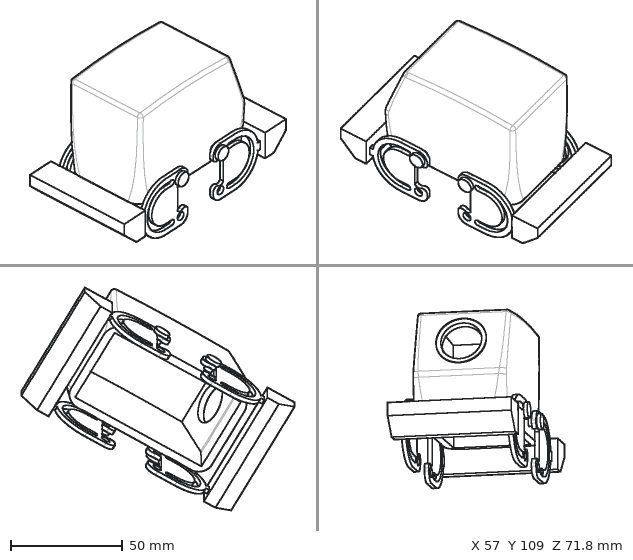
import cadquery as cq
import math

HOOD_WIDTH = 42.8
RIM_HALF_LENGTH = 36.5
END_DRAFT = math.radians(0.8)
CROWN_Z = 51.9
EAVE_Z = 50.4
KNEE_Z = 20.3
LEAN = math.radians(20)
KNEE_RADIUS = 8.7
ROOF_FILLET = 1.7
WALL = 3.7

CORNER_TOP_RADIUS = 1.9
CORNER_RIM_RADIUS = 6.9
CORNER_GROWTH_POWER = 3.2
CORNER_SECTIONS = 7
CORNER_MARGIN = 3.3

ENTRY_Y = 30.5
ENTRY_RADIUS = 9.4
ENTRY_RECESS_RADIUS = 11.5
ENTRY_RECESS_DEPTH = 0.4
ENTRY_REACH = 7.6

LEVER_Z = -4.4
LEVER_THICKNESS = 2.1
LEVER_INNER_X = 23.7
BOW_Y = 23.3
BOW_RADIUS = 15.5
WEB_Y = 15.4
SLOT_RADIUS = 11.0
SLOT_WIDTH = 2.9
SLOT_END_Y = 19.3
PIVOT_Y = 13.4
HOOK_RADIUS = 4.9
HOOK_HOLE_RADIUS = 2.1
TIP_RADIUS = 2.3
TIP_OFFSET = 1.4
NOTCH_RADIUS = 2.2

PIN_RADIUS = 2.0
PIN_HEAD_RADIUS = 3.6
PIN_HEAD_THICKNESS = 1.7
PIN_EMBED = 1.6

HANDLE_LENGTH = 57.0
HANDLE_OUTER_Y = 54.5
HANDLE_DEPTH = 14.2
HANDLE_TOP_Z = 3.9
HANDLE_HEIGHT = 14.3
HANDLE_CHAMFER = 8.2
NECK_HEIGHT = 4.4
NECK_OVERLAP = 1.1

half_width = HOOD_WIDTH / 2
pivot_rise = BOW_RADIUS - HOOK_RADIUS


def end_wall_y(z):
    """Distance of the drafted end walls from the XZ plane at height z."""
    return RIM_HALF_LENGTH - z * math.tan(END_DRAFT)


def leaning_wall_y(z):
    """Position of the leaning +Y wall at height z above the knee."""
    return end_wall_y(KNEE_Z) - (z - KNEE_Z) * math.tan(LEAN)


knee_tangent = KNEE_RADIUS * math.tan((LEAN - END_DRAFT) / 2)
knee_low_z = KNEE_Z - knee_tangent * math.cos(END_DRAFT)
knee_high_z = KNEE_Z + knee_tangent * math.cos(LEAN)
knee_centre_y = end_wall_y(knee_low_z) - KNEE_RADIUS * math.cos(END_DRAFT)
knee_centre_z = knee_low_z - KNEE_RADIUS * math.sin(END_DRAFT)


def knee_y(z):
    """Position of the rounded knee at height z between its tangent lines."""
    return knee_centre_y + math.sqrt(KNEE_RADIUS**2 - (z - knee_centre_z) ** 2)


def hood_profile(base_z):
    """Side outline of the hood, closed along a straight line at base_z."""
    front_y = -end_wall_y(EAVE_Z)
    back_y = leaning_wall_y(EAVE_Z)
    return (
        cq.Workplane("YZ")
        .moveTo(-end_wall_y(base_z), base_z)
        .lineTo(end_wall_y(base_z), base_z)
        .lineTo(end_wall_y(knee_low_z), knee_low_z)
        .threePointArc((knee_y(KNEE_Z), KNEE_Z), (knee_y(knee_high_z), knee_high_z))
        .lineTo(back_y, EAVE_Z)
        .threePointArc(((front_y + back_y) / 2, CROWN_Z), (front_y, EAVE_Z))
        .close()
    )


def corner_radius(z):
    """Radius of the upright hood corners at height z."""
    drop = min(max(1 - z / EAVE_Z, 0), 1)
    growth = CORNER_RIM_RADIUS - CORNER_TOP_RADIUS
    return CORNER_TOP_RADIUS + growth * drop**CORNER_GROWTH_POWER


def corner_section(wall_y, z):
    """Waste outside the rounded +X +Y corner at height z."""
    radius = corner_radius(z)
    y = wall_y(z)
    arc_inset = radius * (1 - math.sqrt(0.5))
    side = (half_width, y - radius)
    middle = (half_width - arc_inset, y - arc_inset)
    end = (half_width - radius, y)
    return (
        cq.Workplane("XY", origin=(0, 0, z))
        .moveTo(*side)
        .lineTo(half_width + CORNER_MARGIN, y - radius)
        .lineTo(half_width + CORNER_MARGIN, y + CORNER_MARGIN)
        .lineTo(half_width - radius, y + CORNER_MARGIN)
        .lineTo(*end)
        .threePointArc(middle, side)
        .close()
        .val()
    )


def corner_cutter(wall_y, low_z, high_z):
    """Waste along one stretch of the +X +Y corner, from low_z to high_z."""
    step = (high_z - low_z) / (CORNER_SECTIONS - 1)
    heights = [low_z + i * step for i in range(CORNER_SECTIONS)]
    return cq.Workplane(cq.Solid.makeLoft([corner_section(wall_y, z) for z in heights]))


def make_hood():
    """Hollow hood, open at the rim, with rounded corners and roof edges."""
    hood = hood_profile(0).extrude(half_width, both=True)

    above_roof_z = CROWN_Z + 1.1
    front = corner_cutter(end_wall_y, 0, above_roof_z).mirror("XZ")
    back_pieces = [
        corner_cutter(end_wall_y, 0, knee_low_z),
        corner_cutter(knee_y, knee_low_z, knee_high_z),
        corner_cutter(leaning_wall_y, knee_high_z, above_roof_z),
    ]
    for cutter in [front] + back_pieces:
        hood = hood.cut(cutter).cut(cutter.mirror("YZ"))

    roof = hood.faces(cq.selectors.NearestToPointSelector((0, 0, CROWN_Z)))
    hood = roof.edges().fillet(ROOF_FILLET)

    cavity = hood_profile(-WALL).offset2D(-WALL).extrude(half_width - WALL, both=True)
    return hood.cut(cavity)


def make_entry():
    """Cable hole with a shallow recess, along the normal of the leaning wall."""
    entry_z = KNEE_Z + (end_wall_y(KNEE_Z) - ENTRY_Y) / math.tan(LEAN)
    inward = (0, -math.cos(LEAN), -math.sin(LEAN))
    plane = cq.Plane(origin=(0, ENTRY_Y, entry_z), xDir=(1, 0, 0), normal=inward)
    hole = cq.Workplane(plane).circle(ENTRY_RADIUS).extrude(ENTRY_REACH)
    recess = cq.Workplane(plane).circle(ENTRY_RECESS_RADIUS).extrude(ENTRY_RECESS_DEPTH)
    return hole.union(recess)


def lever_half():
    """Upper half of the lever outline, with its axis on Z = 0."""
    tip_y = PIVOT_Y - HOOK_RADIUS + TIP_RADIUS
    tip_z = pivot_rise - TIP_OFFSET
    reach = NOTCH_RADIUS + TIP_RADIUS
    notch_z = tip_z - math.sqrt(reach**2 - (PIVOT_Y - tip_y) ** 2)
    touch = NOTCH_RADIUS / reach
    touch_y = PIVOT_Y + (tip_y - PIVOT_Y) * touch
    touch_z = notch_z + (tip_z - notch_z) * touch
    notch_start_z = notch_z + math.sqrt(NOTCH_RADIUS**2 - (WEB_Y - PIVOT_Y) ** 2)
    hook_diagonal = HOOK_RADIUS * math.sqrt(0.5)
    bow_diagonal = BOW_RADIUS * math.sqrt(0.5)
    return (
        cq.Workplane("YZ")
        .moveTo(WEB_Y, 0)
        .lineTo(WEB_Y, notch_start_z)
        .threePointArc((PIVOT_Y, notch_z + NOTCH_RADIUS), (touch_y, touch_z))
        .threePointArc((tip_y, tip_z - TIP_RADIUS), (tip_y - TIP_RADIUS, tip_z))
        .lineTo(PIVOT_Y - HOOK_RADIUS, pivot_rise)
        .threePointArc(
            (PIVOT_Y - hook_diagonal, pivot_rise + hook_diagonal), (PIVOT_Y, BOW_RADIUS)
        )
        .lineTo(BOW_Y, BOW_RADIUS)
        .threePointArc((BOW_Y + bow_diagonal, bow_diagonal), (BOW_Y + BOW_RADIUS, 0))
        .close()
        .extrude(LEVER_THICKNESS)
    )


def lever_slot():
    """U-shaped slot of constant width that follows the bow."""
    outer = SLOT_RADIUS + SLOT_WIDTH / 2
    inner = SLOT_RADIUS - SLOT_WIDTH / 2
    end_tip_y = SLOT_END_Y - SLOT_WIDTH / 2
    return (
        cq.Workplane("YZ")
        .moveTo(SLOT_END_Y, outer)
        .lineTo(BOW_Y, outer)
        .threePointArc((BOW_Y + outer, 0), (BOW_Y, -outer))
        .lineTo(SLOT_END_Y, -outer)
        .threePointArc((end_tip_y, -SLOT_RADIUS), (SLOT_END_Y, -inner))
        .lineTo(BOW_Y, -inner)
        .threePointArc((BOW_Y + inner, 0), (BOW_Y, inner))
        .lineTo(SLOT_END_Y, inner)
        .threePointArc((end_tip_y, SLOT_RADIUS), (SLOT_END_Y, outer))
        .close()
        .extrude(LEVER_THICKNESS)
    )


def make_lever():
    """Flat lever plate with the neck that carries the handle, at +X +Y."""
    half = lever_half()
    hook_hole = (
        cq.Workplane("YZ")
        .center(PIVOT_Y, -pivot_rise)
        .circle(HOOK_HOLE_RADIUS)
        .extrude(LEVER_THICKNESS)
    )
    neck_start = BOW_Y + BOW_RADIUS - NECK_OVERLAP
    neck_length = HANDLE_OUTER_Y - HANDLE_DEPTH - neck_start
    neck = (
        cq.Workplane("YZ")
        .center(neck_start + neck_length / 2, 0)
        .rect(neck_length, NECK_HEIGHT)
        .extrude(LEVER_THICKNESS)
    )
    plate = half.union(half.mirror("XY")).cut(lever_slot()).cut(hook_hole).union(neck)
    return plate.translate((LEVER_INNER_X, 0, LEVER_Z))


def make_pin():
    """Headed pivot pin from the hood wall through the lever, at +X +Y."""
    head_x = LEVER_INNER_X + LEVER_THICKNESS
    pin_x = half_width - PIN_EMBED
    pin_z = LEVER_Z + pivot_rise
    shank = (
        cq.Workplane("YZ", origin=(pin_x, PIVOT_Y, pin_z))
        .circle(PIN_RADIUS)
        .extrude(head_x - pin_x)
    )
    head = (
        cq.Workplane("YZ", origin=(head_x, PIVOT_Y, pin_z))
        .circle(PIN_HEAD_RADIUS)
        .extrude(PIN_HEAD_THICKNESS)
    )
    return shank.union(head)


def make_handle():
    """Handle bar at +Y with its lower outer edge cut off."""
    return (
        cq.Workplane("XY")
        .box(HANDLE_LENGTH, HANDLE_DEPTH, HANDLE_HEIGHT)
        .edges(">Y and <Z")
        .chamfer(HANDLE_CHAMFER)
        .translate((0, HANDLE_OUTER_Y - HANDLE_DEPTH / 2, HANDLE_TOP_Z - HANDLE_HEIGHT / 2))
    )


hood = make_hood().cut(make_entry())

side_parts = make_lever().union(make_pin())
latch = make_handle().union(side_parts).union(side_parts.mirror("YZ"))

result = hood.union(latch).union(latch.mirror("XZ"))